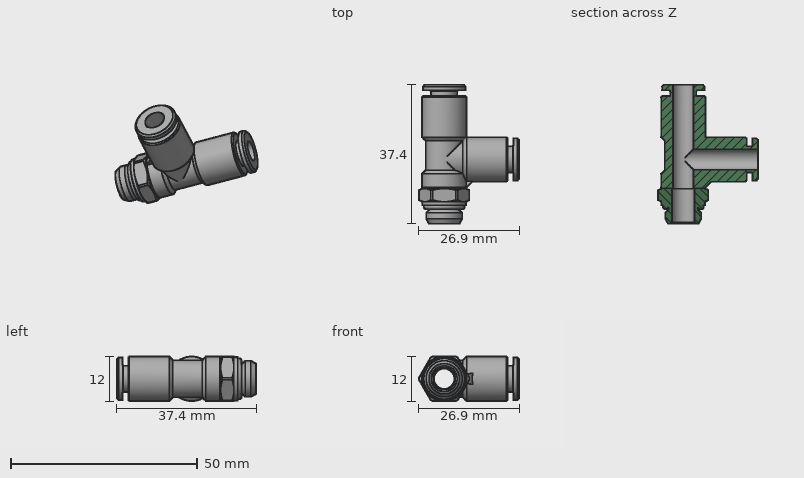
import cadquery as cq
import math

BODY_DIAMETER = 12.0
BODY_R = BODY_DIAMETER / 2
CORE_R = 5.0
TEE_BORE_R = 2.73
SHOULDER = BODY_R - CORE_R

ARM_END = 20.1
SOCKET_END = 17.05
SOCKET_CHAMFER = 0.37
NECK_R = 3.55
NECK_FLARE = 0.22
RING_R = 5.75
RING_START = 18.55
RING_CHAMFER = 0.52

COLLAR_TOP = -2.85
COLLAR_BOTTOM = -7.8
COLLAR_CHAMFER = 0.35
COLLAR_END_R = 5.75
RIB_BOTTOM = -7.5
RIB_REACH = 1.6
RIB_INNER_WIDTH = 2.17
RIB_OUTER_WIDTH = 3.05

OVERALL_LENGTH = 37.4
STUD_END = ARM_END - OVERALL_LENGTH
STUD_BORE_R = 3.0
MOUTH_R = 3.48
MOUTH_DEPTH = MOUTH_R - STUD_BORE_R
HEX_BOTTOM = -11.35
HEX_CORNER_R = 6.77
HEX_BEVEL_ANGLE = math.radians(30)
HEX_BEVEL = (HEX_CORNER_R - BODY_R) * math.tan(HEX_BEVEL_ANGLE)
FLANGE_R = 5.9
FLANGE_BOTTOM = -12.3
SEAL_SECTION_R = 0.8
SEAL_RING_R = 4.75
SEAL_Y = -12.65
RELIEF_R = SEAL_RING_R - SEAL_SECTION_R
THREAD_R = 4.85
THREAD_TOP = -14.32
THREAD_BOTTOM = -15.9
TIP_R = 4.08


def turned(points):
    """Revolve a closed (radius, y) outline around the Y axis."""
    return cq.Workplane("XY").polyline(points).close().revolve(360, (0, 0, 0), (0, 1, 0))


def cylinder(radius, start, end):
    """Solid cylinder on the Y axis between two heights."""
    return turned([(0, start), (radius, start), (radius, end), (0, end)])


def push_in_arm():
    """Core tube, shoulder, socket and release ring of one arm, along +Y."""
    return turned([
        (0, 0),
        (CORE_R, 0),
        (CORE_R, CORE_R),
        (BODY_R, CORE_R + SHOULDER),
        (BODY_R, SOCKET_END - SOCKET_CHAMFER),
        (BODY_R - SOCKET_CHAMFER, SOCKET_END),
        (NECK_R, SOCKET_END),
        (NECK_R, RING_START - NECK_FLARE),
        (NECK_R + NECK_FLARE, RING_START),
        (RING_R, RING_START),
        (RING_R, ARM_END - RING_CHAMFER),
        (RING_R - RING_CHAMFER, ARM_END),
        (0, ARM_END),
    ])


def to_branch(shape):
    """Turn a shape from the +Y direction to the +X direction."""
    return shape.rotate((0, 0, 0), (0, 0, 1), -90)


def collar():
    """Lower end of the tee, widening from the core tube to the collar."""
    return turned([
        (0, 0),
        (CORE_R, 0),
        (CORE_R, COLLAR_TOP),
        (BODY_R, COLLAR_TOP - SHOULDER),
        (BODY_R, COLLAR_BOTTOM + COLLAR_CHAMFER),
        (COLLAR_END_R, COLLAR_BOTTOM),
        (0, COLLAR_BOTTOM),
    ])


def rib():
    """Tapered rib with a 45 degree face between the collar and the branch."""
    outer_x = BODY_R + RIB_REACH
    side_view = (
        cq.Workplane("XY")
        .moveTo(CORE_R, RIB_BOTTOM)
        .lineTo(BODY_R, RIB_BOTTOM)
        .lineTo(outer_x, RIB_BOTTOM + RIB_REACH)
        .lineTo(outer_x, COLLAR_TOP)
        .lineTo(CORE_R, COLLAR_TOP)
        .close()
        .extrude(RIB_OUTER_WIDTH / 2, both=True)
    )
    taper = (
        cq.Workplane("XZ")
        .moveTo(CORE_R, -RIB_INNER_WIDTH / 2)
        .lineTo(outer_x, -RIB_OUTER_WIDTH / 2)
        .lineTo(outer_x, RIB_OUTER_WIDTH / 2)
        .lineTo(CORE_R, RIB_INNER_WIDTH / 2)
        .close()
        .extrude(-RIB_BOTTOM)
    )
    return side_view.intersect(taper)


def make_tee():
    arm = push_in_arm()
    bore = cylinder(TEE_BORE_R, 0, ARM_END)
    solid = arm.union(to_branch(arm)).union(collar()).union(rib())
    return solid.cut(cylinder(TEE_BORE_R, COLLAR_BOTTOM, ARM_END)).cut(to_branch(bore))


def hexagon():
    """Hexagon with flats facing +Z and -Z and turned bevels at both ends."""
    height = COLLAR_BOTTOM - HEX_BOTTOM
    across_corners = 2 * BODY_R / math.cos(math.pi / 6)
    prism = (
        cq.Workplane("XZ", origin=(0, COLLAR_BOTTOM, 0))
        .polygon(6, across_corners)
        .extrude(height)
    )
    envelope = turned([
        (0, COLLAR_BOTTOM),
        (BODY_R, COLLAR_BOTTOM),
        (HEX_CORNER_R, COLLAR_BOTTOM - HEX_BEVEL),
        (HEX_CORNER_R, HEX_BOTTOM + HEX_BEVEL),
        (BODY_R, HEX_BOTTOM),
        (0, HEX_BOTTOM),
    ])
    return prism.intersect(envelope)


def threaded_end():
    """Flange, relief and plain thread cylinder with bevels at both ends."""
    return turned([
        (0, HEX_BOTTOM),
        (FLANGE_R, HEX_BOTTOM),
        (FLANGE_R, FLANGE_BOTTOM),
        (RELIEF_R, FLANGE_BOTTOM),
        (RELIEF_R, THREAD_TOP + THREAD_R - RELIEF_R),
        (THREAD_R, THREAD_TOP),
        (THREAD_R, THREAD_BOTTOM),
        (TIP_R, STUD_END),
        (0, STUD_END),
    ])


def sealing_bead():
    """Round sealing bead between the flange and the thread."""
    return (
        cq.Workplane("XY")
        .center(SEAL_RING_R, SEAL_Y)
        .circle(SEAL_SECTION_R)
        .revolve(360, (-SEAL_RING_R, 0, 0), (-SEAL_RING_R, 1, 0))
    )


def stud_bore():
    """Through bore with a 45 degree mouth at the thread end."""
    return turned([
        (0, COLLAR_BOTTOM),
        (STUD_BORE_R, COLLAR_BOTTOM),
        (STUD_BORE_R, STUD_END + MOUTH_DEPTH),
        (MOUTH_R, STUD_END),
        (0, STUD_END),
    ])


def make_stud():
    return hexagon().union(threaded_end()).union(sealing_bead()).cut(stud_bore())


tee = make_tee()
stud = make_stud()

result = cq.Compound.makeCompound([tee.solids().val(), stud.solids().val()])